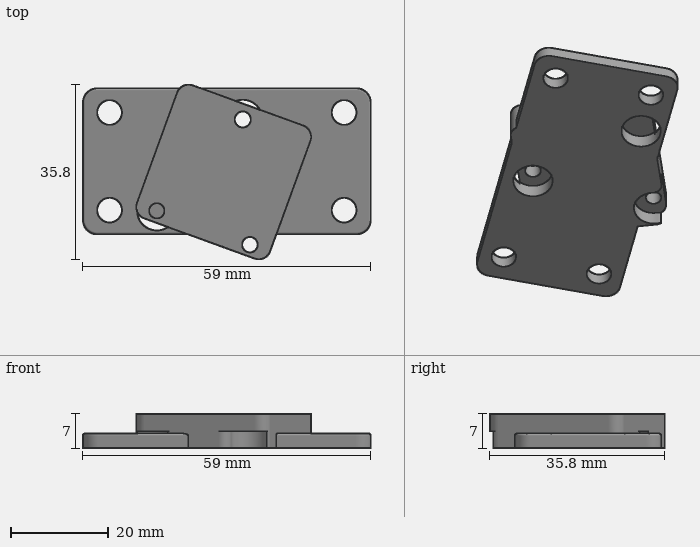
import cadquery as cq
import math

base_length = 59.0
base_width = 30.0
base_height = 3.0
base_corner_radius = 3.0
base_edge_round = 0.5
mount_hole_diameter = 5.0
mount_spacing_x = 48.0
mount_spacing_y = 20.0

block_side = 29.0
block_height = 7.0
block_corner_radius = 2.5
block_angle = -20.0
block_center = (-0.65, -2.2)

lower_hole_offset_x = 10.15
lower_hole_y = -12.15
upper_hole_y = 11.45
lower_hole_diameter = 3.1
upper_hole_diameter = 3.25
blind_hole_depth = 2.95
pocket_diameter = 8.0
pocket_height = 3.4
pocket_mouth_radius = 1.9

blind_hole = (-lower_hole_offset_x, lower_hole_y)
open_lower_hole = (lower_hole_offset_x, lower_hole_y)
upper_hole = (0, upper_hole_y)


def turn_to_block(shape):
    """Move a shape from the block's own axes to its turned place on the base."""
    turned = shape.rotate((0, 0, 0), (0, 0, 1), block_angle)
    return turned.translate((*block_center, 0))


def cylinder(center, diameter, bottom, height):
    return cq.Workplane("XY", origin=(*center, bottom)).circle(diameter / 2).extrude(height)


def make_base():
    plate = cq.Workplane("XY").box(base_length, base_width, base_height, centered=(True, True, False))
    plate = plate.edges("|Z").fillet(base_corner_radius)
    plate = plate.faces(">Z").edges().fillet(base_edge_round)
    return (
        plate.faces("<Z").workplane(origin=(0, 0, 0))
        .rect(mount_spacing_x, mount_spacing_y, forConstruction=True)
        .vertices().hole(mount_hole_diameter)
    )


def make_block():
    block = cq.Workplane("XY").box(block_side, block_side, block_height, centered=(True, True, False))
    return block.edges("|Z").fillet(block_corner_radius)


def make_pocket_mouth():
    """Flare on both flanks of the open lower pocket, widening toward the block's lower side.

    Each round is tangent to the pocket circle and to the line of the lower side.
    """
    hole_x, hole_y = open_lower_hole
    side_y = -block_side / 2
    round_y = side_y + pocket_mouth_radius
    center_distance = pocket_diameter / 2 + pocket_mouth_radius
    rise = round_y - hole_y
    reach = math.sqrt(center_distance**2 - rise**2)
    contact_share = pocket_diameter / 2 / center_distance
    contact_reach = contact_share * reach
    contact_y = hole_y + contact_share * rise
    contact_angle = math.atan2(-rise, reach)
    middle_angle = (contact_angle - math.pi / 2) / 2
    middle_reach = reach - pocket_mouth_radius * math.cos(middle_angle)
    middle_y = round_y + pocket_mouth_radius * math.sin(middle_angle)
    return (
        cq.Workplane("XY")
        .moveTo(hole_x - reach, side_y)
        .threePointArc((hole_x - middle_reach, middle_y), (hole_x - contact_reach, contact_y))
        .lineTo(hole_x + contact_reach, contact_y)
        .threePointArc((hole_x + middle_reach, middle_y), (hole_x + reach, side_y))
        .close()
        .extrude(pocket_height)
    )


result = make_base().union(turn_to_block(make_block()))

for center in (blind_hole, open_lower_hole, upper_hole):
    result = result.cut(turn_to_block(cylinder(center, pocket_diameter, 0, pocket_height)))
result = result.cut(turn_to_block(make_pocket_mouth()))

for center, diameter in ((open_lower_hole, lower_hole_diameter), (upper_hole, upper_hole_diameter)):
    result = result.cut(turn_to_block(cylinder(center, diameter, 0, block_height)))
blind_floor = block_height - blind_hole_depth
blind_cutter = cylinder(blind_hole, lower_hole_diameter, blind_floor, blind_hole_depth)
result = result.cut(turn_to_block(blind_cutter))